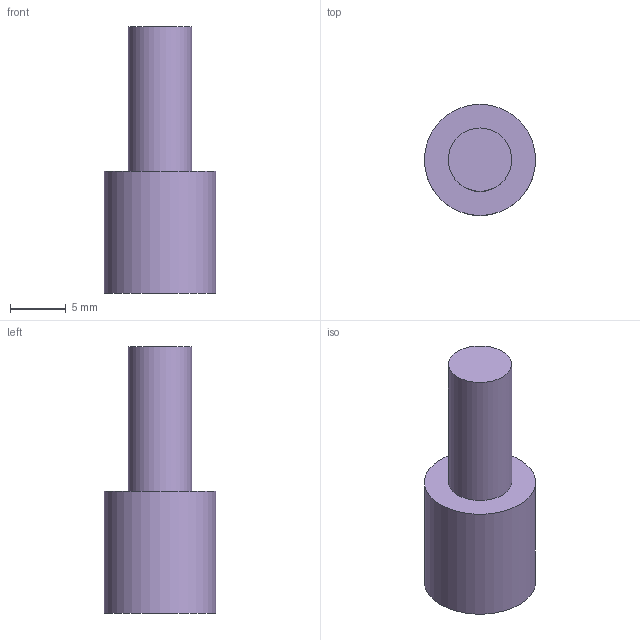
import cadquery as cq

base_diameter = 10.0
base_height = 11.0
pin_diameter = 5.7
overall_height = 24.0

pin_height = overall_height - base_height


def make_base():
    """Cylindrical base standing on the XY plane."""
    return cq.Workplane("XY").circle(base_diameter / 2).extrude(base_height)


def add_pin(body):
    """Concentric pin rising from the top face of the base."""
    return body.faces(">Z").workplane().circle(pin_diameter / 2).extrude(pin_height)


result = add_pin(make_base())